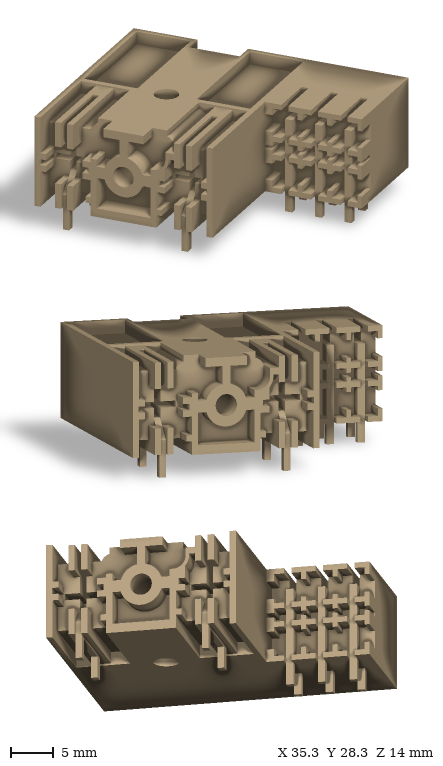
import cadquery as cq
import math

GRID = 1.27
BODY_WIDTH = 18 * GRID
TOTAL_WIDTH = 35.26
DEPTH = 28.3
HEIGHT = 11.4
MID_Z = HEIGHT / 2
CENTER_X = BODY_WIDTH / 2
PIN_LENGTH = 2.6
WALL = 0.76
WING_FRONT = 14.94
RECESS = 2.62
POCKET_DEPTH = 1.6

FRONT_POCKET_END = 11.67
REAR_POCKET_START = FRONT_POCKET_END + WALL
REAR_POCKET_INNER = 3.8
FRONT_POCKET_INNER = 4.42
STEP_WIDTH = 0.96
STEP_HEIGHT = 0.82
STEP_BULGE = 0.16

HUB_RADIUS = 2.54
BORE_RADIUS = 1.3
BORE_DEPTH = 8.0
SCREW_RADIUS = 1.5
SCREW_Y = 12.25
FRAME_INNER = 3.44
FRAME_OUTER = FRAME_INNER + WALL
FRAME_TOP = 7.3
FRAME_FLOOR = 1.09
ARM_HALF_HEIGHT = 0.72
TOP_BAR_WIDTH = 5.12
TOP_BAR_THICKNESS = 1.05
WEB_WIDTH = 0.98
NOTCH_WIDTH = 6.48
NOTCH_DEPTH = 2.42

FORK_CENTERS = (3 * GRID, 15 * GRID)
FORK_WIDTH = 2.29
FORK_SLOT = 0.78
FORK_SLOT_END = 9.16
FORK_MARGIN = 0.22
FORK_HEIGHT = 3.12
RIB_HALF_GAP = 2.34
RIB_HALF_HEIGHT = 1.15
GROOVE_HALF_WIDTH = 3.12
TAB_SLOT_HALF_WIDTH = 2.22
TAB_SLOT_HEIGHT = 0.75
SMALL_RIB_WIDTH = 0.66
SMALL_RIB_HEIGHT = 0.75

LEG_FRONT = 0.52
LEG_WIDTH = 1.02
RAMP_END = 2.86
RAMP_LOW_Z = 1.85
RAMP_HIGH_Z = 4.14
RAISED_FRONT = 6.65

CURVE_INNER_RADIUS = 1.5
CURVE_CENTER_OFFSET = 3.86
CURVE_CENTER_Z = FRAME_TOP + CURVE_INNER_RADIUS
CURVE_OUTER_RADIUS = CURVE_INNER_RADIUS + 0.42
CURVE_BRIDGE_HEIGHT = 0.8

WING_PIN_CENTERS = (20 * GRID, 23 * GRID, 26 * GRID)
WING_PIN_WIDTH = 0.89
WING_SLOT_END = 20.71
WING_PIN_FRONT = 16.03
WING_PIN_TOP = 9.16
WING_LEG_WIDTH = 0.8
SHELF_THICKNESS = 0.66
INNER_SHELF_OFFSET = 1.14
OUTER_TOOTH = 0.87
INNER_TOOTH = 0.54
TOOTH_WIDTH = 0.57
LEFT_TOOTH_WIDTH = 0.92


def box(x0, x1, y0, y1, z0, z1):
    """Box between two opposite corners."""
    return cq.Workplane("XY").box(x1 - x0, y1 - y0, z1 - z0, centered=False).translate((x0, y0, z0))


def rod(radius, y0, y1):
    """Cylinder along Y on the hub axis."""
    plane = cq.Workplane("XZ", origin=(CENTER_X, y0, MID_Z))
    return plane.circle(radius).extrude(y0 - y1)


def outward(side, offset):
    """X at a distance from the centre plane, on side -1 (left) or +1 (right)."""
    return CENTER_X + side * offset


def span_box(xa, xb, y0, y1, z0, z1):
    """Box whose two X limits may come in either order."""
    return box(min(xa, xb), max(xa, xb), y0, y1, z0, z1)


def make_body():
    """L-shaped block with the front of both faces removed for the open structures."""
    body = box(0, BODY_WIDTH, 0, DEPTH, 0, HEIGHT)
    body = body.union(box(BODY_WIDTH, TOTAL_WIDTH, WING_FRONT, DEPTH, 0, HEIGHT))
    body = body.cut(box(WALL, BODY_WIDTH - WALL, 0, RECESS, 0, HEIGHT))
    return body.cut(box(BODY_WIDTH, TOTAL_WIDTH, WING_FRONT, WING_FRONT + RECESS, 0, HEIGHT))


def cut_pockets(body, side):
    """Rear and front top pockets and the front bottom pocket on one side."""
    wall_x = outward(side, CENTER_X - WALL)
    floor_z = HEIGHT - POCKET_DEPTH
    rear_inner = outward(side, REAR_POCKET_INNER)
    body = body.cut(span_box(wall_x, rear_inner, REAR_POCKET_START, DEPTH - WALL, floor_z, HEIGHT))

    inner_x = outward(side, FRONT_POCKET_INNER)
    step_x = outward(side, FRONT_POCKET_INNER + STEP_WIDTH)
    pocket = (
        cq.Workplane("XZ", origin=(0, RECESS, 0))
        .moveTo(wall_x, HEIGHT)
        .lineTo(wall_x, floor_z)
        .lineTo(step_x, floor_z)
        .sagittaArc((inner_x, floor_z + STEP_HEIGHT), -side * STEP_BULGE)
        .lineTo(inner_x, HEIGHT)
        .close()
        .extrude(RECESS - FRONT_POCKET_END)
    )
    bottom = span_box(wall_x, outward(side, FRAME_OUTER), RECESS, FRONT_POCKET_END, 0, POCKET_DEPTH)
    return body.cut(pocket).cut(bottom)


def make_hub_frame():
    """Open frame around the hub, carried by two arms, with a T-shaped bar on top."""
    left = CENTER_X - FRAME_OUTER
    right = CENTER_X + FRAME_OUTER
    frame = box(left, right, 0, RECESS, 0, FRAME_TOP)
    inner_left = CENTER_X - FRAME_INNER
    inner_right = CENTER_X + FRAME_INNER
    arm_low = MID_Z - ARM_HALF_HEIGHT
    arm_high = MID_Z + ARM_HALF_HEIGHT
    frame = frame.cut(box(inner_left, inner_right, 0, RECESS, FRAME_FLOOR, arm_low))
    frame = frame.cut(box(inner_left, inner_right, 0, RECESS, arm_high, FRAME_TOP))
    web_half = WEB_WIDTH / 2
    bar_half = TOP_BAR_WIDTH / 2
    frame = frame.union(rod(HUB_RADIUS, 0, RECESS))
    frame = frame.union(box(CENTER_X - web_half, CENTER_X + web_half, 0, RECESS, MID_Z, HEIGHT))
    bar_low = HEIGHT - TOP_BAR_THICKNESS
    return frame.union(box(CENTER_X - bar_half, CENTER_X + bar_half, 0, RECESS, bar_low, HEIGHT))


def cut_hub_openings(body):
    """Hub bore, vertical screw hole and the rear notch that leaves the hub standing."""
    half = NOTCH_WIDTH / 2
    notch_front = DEPTH - NOTCH_DEPTH
    notch = box(CENTER_X - half, CENTER_X + half, notch_front, DEPTH, MID_Z + ARM_HALF_HEIGHT, HEIGHT)
    screw_hole = cq.Workplane("XY").center(CENTER_X, SCREW_Y).circle(SCREW_RADIUS).extrude(HEIGHT)
    body = body.cut(notch.cut(rod(HUB_RADIUS, notch_front, DEPTH)))
    return body.cut(rod(BORE_RADIUS, 0, BORE_DEPTH)).cut(screw_hole)


def make_guides(side, fork_x):
    """Grooved guide ribs on the outer wall and hub frame, and the small rib below."""
    wall_x = outward(side, CENTER_X - WALL)
    frame_x = outward(side, FRAME_OUTER)
    low = MID_Z - RIB_HALF_HEIGHT
    high = MID_Z + RIB_HALF_HEIGHT
    guides = span_box(wall_x, fork_x + side * RIB_HALF_GAP, 0, RECESS, low, high)
    guides = guides.union(span_box(frame_x, fork_x - side * RIB_HALF_GAP, 0, RECESS, low, high))
    small_x = frame_x + side * SMALL_RIB_WIDTH
    small_top = POCKET_DEPTH + SMALL_RIB_HEIGHT
    return guides.union(span_box(frame_x, small_x, 0, RECESS, POCKET_DEPTH, small_top))


def make_forks(fork_x):
    """Upper and lower fork bars, each running from the front to the end of the pocket."""
    half = FORK_WIDTH / 2
    forks = box(fork_x - half, fork_x + half, 0, FRONT_POCKET_END, FORK_MARGIN, FORK_MARGIN + FORK_HEIGHT)
    top = HEIGHT - FORK_MARGIN
    return forks.union(box(fork_x - half, fork_x + half, 0, FRONT_POCKET_END, top - FORK_HEIGHT, top))


def make_curved_wall():
    """Wall sweeping from the hub frame up to the right upper fork."""
    center_x = outward(1, CURVE_CENTER_OFFSET)
    rib_x = FORK_CENTERS[1] - RIB_HALF_GAP
    fork_x = FORK_CENTERS[1] - FORK_WIDTH / 2
    top = HEIGHT - POCKET_DEPTH
    inner_x = center_x + CURVE_INNER_RADIUS
    outer_x = center_x + CURVE_OUTER_RADIUS
    inner_diagonal = CURVE_INNER_RADIUS * math.sqrt(0.5)
    inner_mid = (center_x + inner_diagonal, CURVE_CENTER_Z - inner_diagonal)
    end_angle = math.acos((rib_x - center_x) / CURVE_OUTER_RADIUS)
    end_z = CURVE_CENTER_Z - CURVE_OUTER_RADIUS * math.sin(end_angle)
    outer_mid_x = center_x + CURVE_OUTER_RADIUS * math.cos(end_angle / 2)
    outer_mid_z = CURVE_CENTER_Z - CURVE_OUTER_RADIUS * math.sin(end_angle / 2)
    return (
        cq.Workplane("XZ")
        .moveTo(center_x, MID_Z)
        .lineTo(center_x, FRAME_TOP)
        .threePointArc(inner_mid, (inner_x, CURVE_CENTER_Z))
        .lineTo(inner_x, top)
        .lineTo(fork_x, top)
        .lineTo(fork_x, top - CURVE_BRIDGE_HEIGHT)
        .lineTo(outer_x, top - CURVE_BRIDGE_HEIGHT)
        .lineTo(outer_x, CURVE_CENTER_Z)
        .threePointArc((outer_mid_x, outer_mid_z), (rib_x, end_z))
        .lineTo(rib_x, MID_Z)
        .close()
        .extrude(-RECESS)
    )


def make_fork_clearance(fork_x):
    """Vertical slot through the forks, guide rib grooves and a stepped tab slot behind them."""
    half = FORK_SLOT / 2
    low = MID_Z - TAB_SLOT_HEIGHT / 2
    high = MID_Z + TAB_SLOT_HEIGHT / 2
    slot = box(fork_x - half, fork_x + half, 0, FORK_SLOT_END, 0, HEIGHT)
    grooves = box(fork_x - GROOVE_HALF_WIDTH, fork_x + GROOVE_HALF_WIDTH, 0, RECESS, low, high)
    tab_left = fork_x - TAB_SLOT_HALF_WIDTH
    tab_right = fork_x + TAB_SLOT_HALF_WIDTH
    shallow_side = box(tab_left, fork_x, 0, RAISED_FRONT, low, high)
    deep_side = box(fork_x, tab_right, 0, FORK_SLOT_END, low, high)
    return slot.union(grooves).union(shallow_side).union(deep_side)


def make_fork_terminal(fork_x):
    """Upright plate with a ramped front, a raised rear and two legs."""
    return (
        cq.Workplane("YZ", origin=(fork_x - FORK_SLOT / 2, 0, 0))
        .moveTo(LEG_FRONT, -PIN_LENGTH)
        .lineTo(LEG_FRONT, RAMP_LOW_Z)
        .lineTo(RAMP_END, RAMP_HIGH_Z)
        .lineTo(RAISED_FRONT, RAMP_HIGH_Z)
        .lineTo(RAISED_FRONT, MID_Z + TAB_SLOT_HEIGHT / 2)
        .lineTo(FORK_SLOT_END, MID_Z + TAB_SLOT_HEIGHT / 2)
        .lineTo(FORK_SLOT_END, -PIN_LENGTH)
        .lineTo(FORK_SLOT_END - LEG_WIDTH, -PIN_LENGTH)
        .lineTo(FORK_SLOT_END - LEG_WIDTH, 0)
        .lineTo(LEG_FRONT + LEG_WIDTH, 0)
        .lineTo(LEG_FRONT + LEG_WIDTH, -PIN_LENGTH)
        .close()
        .extrude(FORK_SLOT)
    )


def make_wing_shelves():
    """Four shelves with teeth at both ends and midway between the terminals."""
    first, second, third = WING_PIN_CENTERS
    half = TOOTH_WIDTH / 2
    tooth_spans = [(BODY_WIDTH, BODY_WIDTH + LEFT_TOOTH_WIDTH), (TOTAL_WIDTH - TOOTH_WIDTH, TOTAL_WIDTH)]
    for middle in ((first + second) / 2, (second + third) / 2):
        tooth_spans.append((middle - half, middle + half))

    def shelf(low, high, tooth_below, tooth_above):
        back = WING_FRONT + RECESS
        toothed = box(BODY_WIDTH, TOTAL_WIDTH, WING_FRONT, back, low, high)
        for start, end in tooth_spans:
            tooth = box(start, end, WING_FRONT, back, low - tooth_below, high + tooth_above)
            toothed = toothed.union(tooth)
        return toothed

    shelves = shelf(0, SHELF_THICKNESS, 0, OUTER_TOOTH)
    shelves = shelves.union(shelf(HEIGHT - SHELF_THICKNESS, HEIGHT, OUTER_TOOTH, 0))
    for shelf_z in (MID_Z - INNER_SHELF_OFFSET, MID_Z + INNER_SHELF_OFFSET):
        low = shelf_z - SHELF_THICKNESS / 2
        shelves = shelves.union(shelf(low, low + SHELF_THICKNESS, INNER_TOOTH, INNER_TOOTH))
    return shelves


def make_wing_terminal(pin_x):
    """Flat plate filling the rear of its slot, with a leg at each end."""
    x0 = pin_x - WING_PIN_WIDTH / 2
    x1 = pin_x + WING_PIN_WIDTH / 2
    terminal = box(x0, x1, WING_PIN_FRONT, WING_SLOT_END, 0, WING_PIN_TOP)
    for leg_y in (WING_PIN_FRONT, WING_SLOT_END - WING_LEG_WIDTH):
        terminal = terminal.union(box(x0, x1, leg_y, leg_y + WING_LEG_WIDTH, -PIN_LENGTH, 0))
    return terminal


part = make_body()
for side in (-1, 1):
    part = cut_pockets(part, side)
part = part.union(make_hub_frame())
part = cut_hub_openings(part)
part = part.union(make_curved_wall())
for side, fork_x in zip((-1, 1), FORK_CENTERS):
    part = part.union(make_guides(side, fork_x)).union(make_forks(fork_x))
    part = part.cut(make_fork_clearance(fork_x)).union(make_fork_terminal(fork_x))

part = part.union(make_wing_shelves())
for pin_x in WING_PIN_CENTERS:
    slot_left = pin_x - WING_PIN_WIDTH / 2
    slot_right = pin_x + WING_PIN_WIDTH / 2
    part = part.cut(box(slot_left, slot_right, WING_FRONT, WING_SLOT_END, 0, HEIGHT))
    part = part.union(make_wing_terminal(pin_x))

result = part